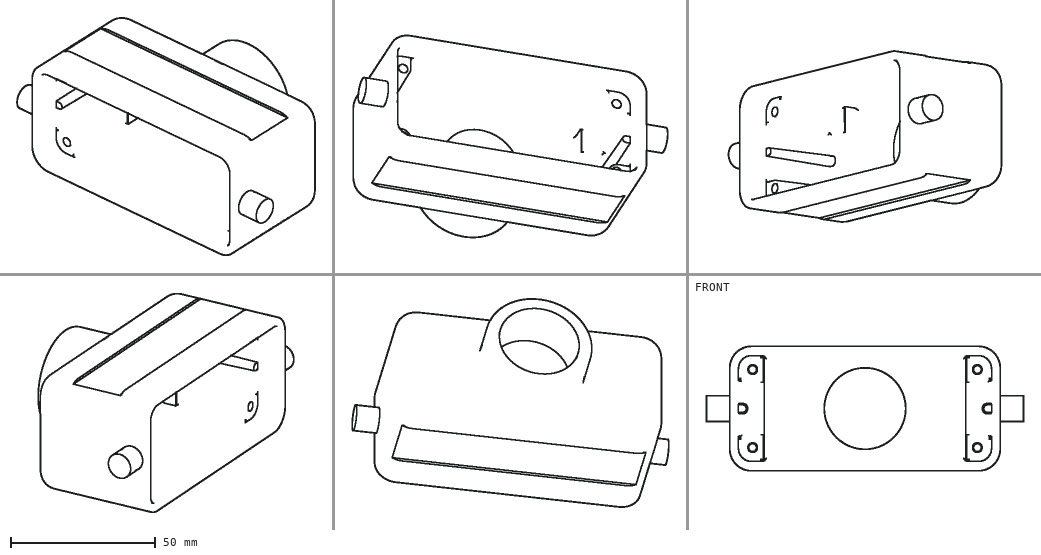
import cadquery as cq
import math


span_x = 109.5
total_depth = 61.0
body_width = 93.4
body_height = 43.0
body_depth = 45.1
corner_radius = 7.6
back_round = 5.4
rim_round = 0.6
small_round = 1.0
half_width = body_width / 2
half_height = body_height / 2

collar_radius = 18.6
bore_radius = 14.0

pin_radius = 4.5
pin_y = 6.1

recess_start = 12.9
recess_end = 31.9
recess_depth = 0.93

wall_x = 3.0
wall_z = 3.2
floor_thickness = 3.0
wall_draft = 0.5
floor_y = body_depth - floor_thickness
cavity_width = body_width - 2 * wall_x
cavity_height = body_height - 2 * wall_z
cavity_corner = corner_radius - wall_x

ledge_y = 37.2
ledge_x = 34.8

post_tip_y = 9.5
post_inner_x = 35.9
post_inner_z = 10.5
post_round = 3.6
post_tip_round = 0.3
post_wall_round = 0.8
post_draft = 1.0
post_foot_gap = 0.3
post_length = ledge_y - post_tip_y
post_spread = post_length * math.tan(math.radians(post_draft))
foot_x = post_inner_x - post_spread
foot_z = post_inner_z - post_spread

screw_x = 38.8
screw_z = 13.5
screw_radius = 1.6
screw_depth = 11.0
screw_draft = 1.5

rib_radius = 1.3
rib_center_x = 42.3

pick_margin = 0.1


def plane_at(y):
    """Sketch plane facing +Y, with its x axis along X and its y axis along -Z."""
    return cq.Workplane(cq.Plane(origin=(0, y, 0), xDir=(1, 0, 0), normal=(0, 1, 0)))


def box_between(x0, x1, y0, y1, z0, z1):
    box = cq.Workplane("XY").box(x1 - x0, y1 - y0, z1 - z0, centered=False)
    return box.translate((x0, y0, z0))


def both_ends(solid):
    """The solid together with its mirror image at the -X end."""
    return solid.union(solid.mirror("YZ"))


def four_corners(solid):
    return both_ends(solid.union(solid.mirror("XY")))


def make_shell():
    """The outer body with its collar, still solid inside."""
    body = plane_at(0).rect(body_width, body_height).extrude(body_depth)
    body = body.edges("|Y").fillet(corner_radius)
    body = body.faces(">Y").edges().fillet(back_round)
    collar = plane_at(floor_y).circle(collar_radius).extrude(total_depth - floor_y)
    collar = collar.faces(">Y").edges().fillet(small_round)
    reach = collar_radius + pick_margin
    collar_foot = cq.selectors.BoxSelector(
        (-reach, floor_y, -reach),
        (reach, body_depth + pick_margin, reach),
        boundingbox=True,
    )
    return body.union(collar).edges(collar_foot).fillet(small_round)


def make_label_recesses():
    half_span = span_x / 2
    floor_z = half_height - recess_depth
    upper = box_between(-half_span, half_span, recess_start, recess_end, floor_z, half_height)
    return upper.union(upper.mirror("XY"))


def cavity_prism(depth):
    """Drafted prism with rounded corners, reaching from the rim to the given depth."""
    outline = plane_at(0).sketch().rect(cavity_width, cavity_height).vertices().fillet(cavity_corner)
    return outline.finalize().extrude(depth, taper=wall_draft)


def make_hollow():
    """The plain cavity, stepping back to a ledge with a rounded edge at each short end."""
    shallow = cavity_prism(ledge_y).faces(">Y").edges().fillet(small_round)
    ledge = box_between(ledge_x, half_width, ledge_y, body_depth, -half_height, half_height)
    ledge = ledge.edges("|Z and <X and <Y").fillet(small_round)
    middle_x = ledge_x + 2 * small_round
    middle = box_between(-middle_x, middle_x, 0, body_depth, -half_height, half_height)
    deep = cavity_prism(floor_y).intersect(middle).cut(both_ends(ledge))
    deep = deep.faces(">Y").edges().fillet(small_round)
    return shallow.union(deep)


def make_column():
    """The plain drafted column of the +X +Z post, buried in the walls on its outer sides."""
    outer_x = half_width + post_spread
    outer_z = half_height + post_spread
    root = box_between(foot_x, outer_x, ledge_y, body_depth, foot_z, outer_z)
    root = root.edges("|Y and <X and <Z").fillet(post_round + post_spread)
    outline = root.faces("<Y").wires().toPending().workplane()
    return outline.extrude(post_length, taper=post_draft)


def make_post():
    """The +X +Z post, with a rounded tip and a foot flaring out onto the ledge."""
    column = make_column().faces("<Y").edges().fillet(post_tip_round)
    base = box_between(0, body_width, ledge_y, body_depth, 0, body_height)
    foot = cq.selectors.BoxSelector(
        (foot_x - pick_margin, ledge_y - pick_margin, foot_z - pick_margin),
        (body_width, ledge_y + pick_margin, body_height),
        boundingbox=True,
    )
    post = base.union(column).edges(foot).fillet(small_round)
    footprint = box_between(
        ledge_x + post_foot_gap, half_width, 0, body_depth, foot_z - small_round, half_height
    )
    return post.intersect(footprint)


def make_wall_blends():
    """The slivers of material that round off the corners between the posts and the walls."""
    sharp_room = cavity_prism(ledge_y).cut(four_corners(make_column()))
    middle_y = (post_tip_y + ledge_y) / 2
    meeting_points = [
        (cavity_width / 2, post_inner_z),
        (post_inner_x, cavity_height / 2),
    ]
    rounded_room = sharp_room
    for side_x in (-1, 1):
        for side_z in (-1, 1):
            for x, z in meeting_points:
                point = (side_x * x, middle_y, side_z * z)
                corner = cq.selectors.NearestToPointSelector(point)
                rounded_room = rounded_room.edges(corner).fillet(post_wall_round)
    return sharp_room.cut(rounded_room)


def make_screw_hole():
    hole = plane_at(post_tip_y).moveTo(screw_x, -screw_z).circle(screw_radius)
    return hole.extrude(screw_depth, taper=screw_draft)


def make_rib():
    """A round-nosed rib on the middle of the +X wall, running from the ledge to the post tips."""
    root_radius = rib_radius + post_spread
    root_length = 2 * (half_width - rib_center_x + root_radius)
    root = cq.Workplane(cq.Plane(origin=(half_width, ledge_y, 0), xDir=(1, 0, 0), normal=(0, -1, 0)))
    return root.slot2D(root_length, 2 * root_radius).extrude(post_length, taper=post_draft)


def make_cavity():
    """All the space inside the hood: the hollow less the posts and ribs, plus the screw holes."""
    hollow = make_hollow().cut(four_corners(make_post())).cut(make_wall_blends())
    return hollow.cut(both_ends(make_rib())).union(four_corners(make_screw_hole()))


def make_pins():
    root_x = half_width - wall_x / 2
    pin = cq.Workplane("YZ", origin=(root_x, pin_y, 0)).circle(pin_radius)
    return both_ends(pin.extrude(span_x / 2 - root_x))


def make_bore():
    return plane_at(ledge_y).circle(bore_radius).extrude(total_depth - ledge_y)


hood = make_shell().cut(make_label_recesses()).cut(make_cavity())
hood = hood.faces("<Y").edges().fillet(rim_round)
result = hood.cut(make_bore()).union(make_pins())